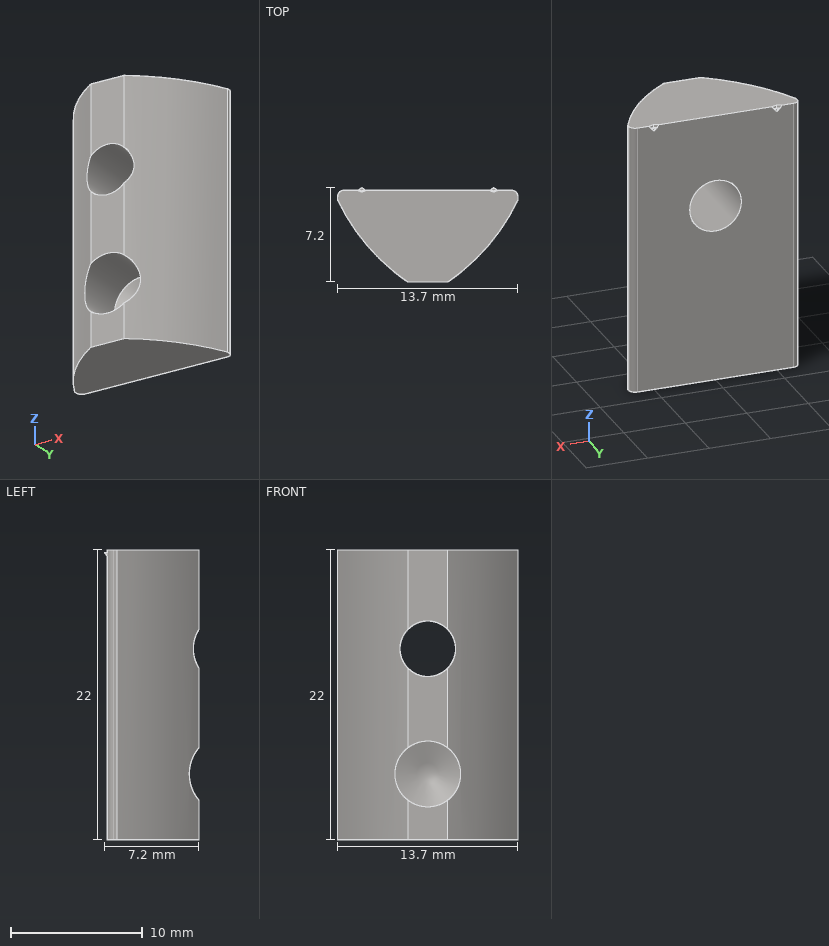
import cadquery as cq
import math

length = 22.0
width = 13.7
body_depth = 7.0
front_flat_width = 3.0
corner_radius = 0.5
side_flat_height = 0.25
flank_radius = 15.62

hole_diameter = 4.2
hole_height = 14.5
pocket_diameter = 5.0
pocket_height = 5.0
pocket_depth = 5.0
drill_point_angle = 140.0

barb_spacing = 10.0
barb_height = 0.2
barb_width = 0.53
barb_underside = 0.26
barb_drop = 0.2
notch_width = 0.8
notch_depth = 0.15
notch_floor_depth = 0.07


def make_body():
    half_width = width / 2
    half_flat = front_flat_width / 2
    corner_start = body_depth - corner_radius
    flank_top = corner_start - side_flat_height
    return (
        cq.Workplane("XY")
        .moveTo(-half_flat, 0)
        .lineTo(half_flat, 0)
        .radiusArc((half_width, flank_top), -flank_radius)
        .lineTo(half_width, corner_start)
        .radiusArc((half_width - corner_radius, body_depth), -corner_radius)
        .lineTo(-half_width + corner_radius, body_depth)
        .radiusArc((-half_width, corner_start), -corner_radius)
        .lineTo(-half_width, flank_top)
        .radiusArc((-half_flat, 0), -flank_radius)
        .close()
        .extrude(length)
    )


def make_through_hole():
    return (
        cq.Workplane("XZ", origin=(0, 0, hole_height))
        .circle(hole_diameter / 2)
        .extrude(-body_depth)
    )


def make_pocket():
    """Straight-walled blind hole with a conical drill point, revolved about Y."""
    radius = pocket_diameter / 2
    point_depth = radius / math.tan(math.radians(drill_point_angle / 2))
    return (
        cq.Workplane("XY", origin=(0, 0, pocket_height))
        .lineTo(radius, 0)
        .lineTo(radius, pocket_depth)
        .lineTo(0, pocket_depth + point_depth)
        .close()
        .revolve(360, (0, 0), (0, 1))
    )


def make_notch(x):
    """Shallow V-shaped notch, narrowing from the top face down to the barb."""
    return (
        cq.Workplane("XY", origin=(x, body_depth, length - barb_drop))
        .polyline([(-barb_width / 2, 0), (0, -notch_floor_depth), (barb_width / 2, 0)])
        .close()
        .workplane(offset=barb_drop)
        .polyline([(-notch_width / 2, 0), (0, -notch_depth), (notch_width / 2, 0)])
        .close()
        .loft(ruled=True)
    )


def make_barb(x):
    """Pointed barb with a flat top and an underside sloping back to the body.

    Its level top reaches from the tip to the foot of the notch; its lowest
    corner lies on the back face.
    """
    top = length - barb_drop
    left = cq.Vector(x - barb_width / 2, body_depth, top)
    right = cq.Vector(x + barb_width / 2, body_depth, top)
    tip = cq.Vector(x, body_depth + barb_height, top)
    bottom = cq.Vector(x, body_depth, top - barb_underside)
    root = cq.Vector(x, body_depth - notch_floor_depth, top)
    triangles = [
        (left, tip, root),
        (root, tip, right),
        (left, bottom, tip),
        (tip, bottom, right),
        (left, root, bottom),
        (root, right, bottom),
    ]
    outlines = [cq.Wire.makePolygon(corners, close=True) for corners in triangles]
    faces = [cq.Face.makeFromWires(outline) for outline in outlines]
    return cq.Workplane(cq.Solid.makeSolid(cq.Shell.makeShell(faces)))


result = make_body().cut(make_through_hole()).cut(make_pocket())
for side in (-1, 1):
    barb_x = side * barb_spacing / 2
    result = result.cut(make_notch(barb_x)).union(make_barb(barb_x))